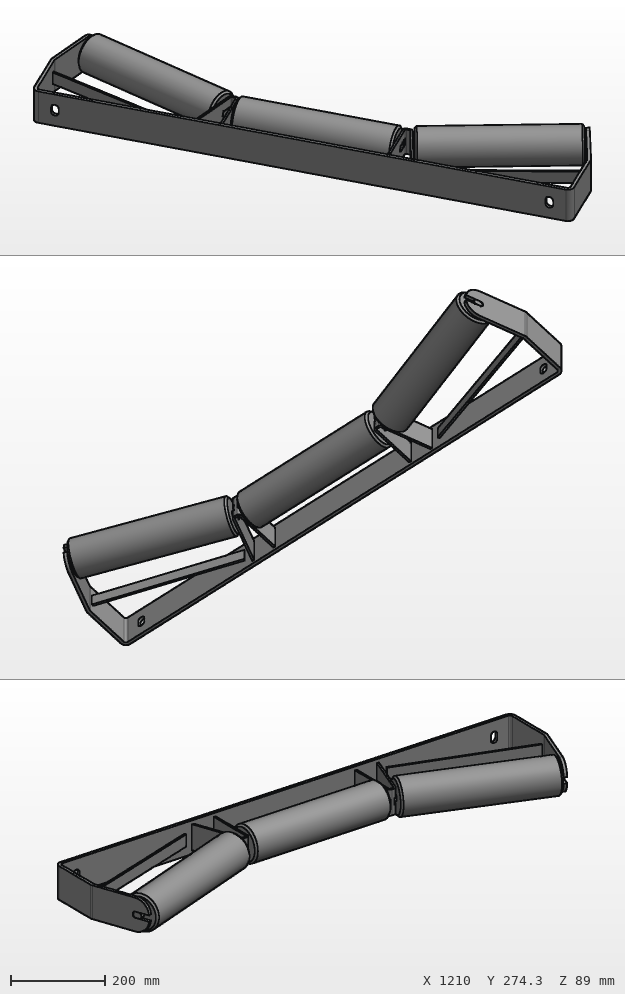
import cadquery as cq
import math

TILT = math.radians(20.0)
REACH = 274.29

FRAME_LENGTH = 1210.0
FRAME_WIDTH = 80.0
FRAME_THICKNESS = 8.0
FRAME_BEND_RADIUS = 6.0
WING_BEND_HEIGHT = 128.0
WING_LENGTH = 147.0
WING_CORNER_RADIUS = 35.0
MOUNT_HOLE_WIDTH = 17.0
MOUNT_HOLE_HEIGHT = 27.0
MOUNT_HOLE_SPACING = 1108.0

ROLLER_DIAMETER = 89.0
ROLLER_LENGTH = 361.0
ROLLER_CHAMFER = 5.0
SHAFT_DIAMETER = 20.0
SHAFT_ACROSS_FLATS = 14.0
SLOT_WIDTH = 15.0
CENTRE_ROLLER_HEIGHT = 101.0
WING_ROLLER_GAP = 3.5

BRACKET_THICKNESS = 5.0
BRACKET_BEND_RADIUS = 2.0
BRACKET_WIDTH = 62.0
BRACKET_TOP = 128.5
BRACKET_INNER_FACE = 184.5
BRACKET_FOOT = 248.0

BRACE_THICKNESS = 5.0
BRACE_WIDTH = 29.0
BRACE_WALL_HEIGHT = 115.2
BRACE_HEEL = 268.0

HALF_LENGTH = FRAME_LENGTH / 2

LEFT_AXIS = cq.Vector(math.cos(TILT), -math.sin(TILT), 0)
WING_DIRECTION = cq.Vector(math.sin(TILT), math.cos(TILT), 0)
CENTRE_AXIS = cq.Vector(1, 0, 0)
CENTRE_UP = cq.Vector(0, 1, 0)

wing_bend = cq.Vector(-HALF_LENGTH, WING_BEND_HEIGHT, 0)
wing_tip = wing_bend + WING_DIRECTION * WING_LENGTH
bracket_foot = cq.Vector(-BRACKET_FOOT, FRAME_THICKNESS, 0)

rim_rise = ROLLER_DIAMETER / 2 * math.cos(TILT) - ROLLER_CHAMFER * math.sin(TILT)
left_outer_stub = FRAME_THICKNESS + WING_ROLLER_GAP
left_end_rise = REACH - rim_rise - WING_BEND_HEIGHT
along_wing = (left_end_rise + left_outer_stub * math.sin(TILT)) / math.cos(TILT)
left_end = wing_bend + WING_DIRECTION * along_wing + LEFT_AXIS * left_outer_stub

left_bracket_gap = (bracket_foot - left_end).dot(LEFT_AXIS) - ROLLER_LENGTH
left_inner_stub = left_bracket_gap + BRACKET_THICKNESS
centre_end = cq.Vector(-ROLLER_LENGTH / 2, CENTRE_ROLLER_HEIGHT, 0)
centre_stub = BRACKET_INNER_FACE - ROLLER_LENGTH / 2 + BRACKET_THICKNESS


def mirrored(body):
    """The right-hand counterpart of a left-hand body."""
    return body.mirror("YZ")


def bent_strip(outer, thickness, bend_radius, width):
    """A bent strip with one side on the given points and its thickness to the left of that path."""
    points = [cq.Vector(x, y, 0) for x, y in outer]
    directions = [(end - start).normalized() for start, end in zip(points, points[1:])]
    normals = [cq.Vector(-d.y, d.x, 0) for d in directions]
    inner = [points[0] + normals[0] * thickness]
    for corner, before, after in zip(points[1:], normals, normals[1:]):
        mitre = (before + after) * (thickness / (1 + before.dot(after)))
        inner.append(corner + mitre)
    inner.append(points[-1] + normals[-1] * thickness)
    outline = [(p.x, p.y) for p in points + inner[::-1]]
    strip = cq.Workplane("XY").polyline(outline).close().extrude(width / 2, both=True)
    for outside, inside in zip(points[1:-1], inner[1:-1]):
        strip = strip.edges(cq.NearestToPointSelector(outside.toTuple())).fillet(bend_radius + thickness)
        strip = strip.edges(cq.NearestToPointSelector(inside.toTuple())).fillet(bend_radius)
    return strip


def shaft_slot(axis_point, axis, up, plate_thickness):
    """Cutter for a round-bottomed slot, open at the top, that a flattened shaft end drops into."""
    plane = cq.Plane(origin=axis_point.toTuple(), xDir=up.toTuple(), normal=axis.toTuple())
    flat_edge = math.sqrt(SHAFT_DIAMETER**2 - SHAFT_ACROSS_FLATS**2) / 2
    bottom_centre = math.sqrt(SLOT_WIDTH**2 - SHAFT_ACROSS_FLATS**2) / 2 - flat_edge
    straight = ROLLER_DIAMETER
    slot = cq.Workplane(plane).center(bottom_centre + straight / 2, 0)
    return slot.slot2D(straight + SLOT_WIDTH, SLOT_WIDTH).extrude(plate_thickness, both=True)


def make_roller(end_point, axis, up, first_stub, last_stub):
    """A chamfered roller with a shaft end, flattened on two sides, standing out of each face."""
    plane = cq.Plane(origin=end_point.toTuple(), xDir=up.toTuple(), normal=axis.toTuple())
    roller = cq.Workplane(plane).circle(ROLLER_DIAMETER / 2).extrude(ROLLER_LENGTH)
    roller = roller.faces("%PLANE").edges().chamfer(ROLLER_CHAMFER)
    shaft_length = first_stub + ROLLER_LENGTH + last_stub
    shaft_start = cq.Workplane(plane).workplane(offset=-first_stub)
    shaft = shaft_start.circle(SHAFT_DIAMETER / 2).extrude(shaft_length)
    flats = shaft_start.rect(SHAFT_DIAMETER, SHAFT_ACROSS_FLATS).extrude(shaft_length)
    return roller.union(shaft.intersect(flats))


def make_frame():
    left = [(wing_tip.x, wing_tip.y), (wing_bend.x, wing_bend.y), (-HALF_LENGTH, 0)]
    right = [(-x, y) for x, y in reversed(left)]
    frame = bent_strip(left + right, FRAME_THICKNESS, FRAME_BEND_RADIUS, FRAME_WIDTH)

    tip_middle = wing_tip + LEFT_AXIS * (FRAME_THICKNESS / 2)
    for x in (tip_middle.x, -tip_middle.x):
        for z in (-FRAME_WIDTH / 2, FRAME_WIDTH / 2):
            corner = cq.NearestToPointSelector((x, tip_middle.y, z))
            frame = frame.edges(corner).fillet(WING_CORNER_RADIUS)

    wing_seat = left_end - LEFT_AXIS * left_outer_stub
    slot = shaft_slot(wing_seat, LEFT_AXIS, WING_DIRECTION, FRAME_THICKNESS)
    frame = frame.cut(slot).cut(mirrored(slot))

    hole_x = MOUNT_HOLE_SPACING / 2
    holes = cq.Workplane("XZ").pushPoints([(-hole_x, 0), (hole_x, 0)])
    holes = holes.slot2D(MOUNT_HOLE_HEIGHT, MOUNT_HOLE_WIDTH, 90).extrude(-FRAME_THICKNESS)
    return frame.cut(holes)


def make_bracket():
    lean = (BRACKET_TOP - FRAME_THICKNESS) * math.tan(TILT)
    outer = [
        (-BRACKET_INNER_FACE, FRAME_THICKNESS),
        (-BRACKET_INNER_FACE, BRACKET_TOP),
        (-BRACKET_FOOT + lean, BRACKET_TOP),
        (-BRACKET_FOOT, FRAME_THICKNESS),
    ]
    bracket = bent_strip(outer, BRACKET_THICKNESS, BRACKET_BEND_RADIUS, BRACKET_WIDTH)

    base = cq.Workplane("XY").box(FRAME_LENGTH, FRAME_THICKNESS, FRAME_WIDTH, centered=(True, False, True))
    bracket = bracket.cut(base)

    left_seat = left_end + LEFT_AXIS * (ROLLER_LENGTH + left_bracket_gap)
    centre_seat = cq.Vector(-BRACKET_INNER_FACE, CENTRE_ROLLER_HEIGHT, 0)
    bracket = bracket.cut(shaft_slot(left_seat, LEFT_AXIS, WING_DIRECTION, BRACKET_THICKNESS))
    return bracket.cut(shaft_slot(centre_seat, CENTRE_AXIS, CENTRE_UP, BRACKET_THICKNESS))


def make_brace():
    """A flat bar, cut along the end wall at the top and square at its foot on the frame base."""
    wall = -HALF_LENGTH + FRAME_THICKNESS
    run = -BRACE_HEEL - wall
    drop = BRACE_WALL_HEIGHT - FRAME_THICKNESS
    slope_angle = math.atan2(drop, run)
    upright_thickness = BRACE_THICKNESS / math.cos(slope_angle)
    outline = [
        (wall, BRACE_WALL_HEIGHT),
        (-BRACE_HEEL, FRAME_THICKNESS),
        (
            -BRACE_HEEL + BRACE_THICKNESS * math.sin(slope_angle),
            FRAME_THICKNESS + BRACE_THICKNESS * math.cos(slope_angle),
        ),
        (wall, BRACE_WALL_HEIGHT + upright_thickness),
    ]
    return cq.Workplane("XY").polyline(outline).close().extrude(BRACE_WIDTH / 2, both=True)


frame = make_frame()
centre_roller = make_roller(centre_end, CENTRE_AXIS, CENTRE_UP, centre_stub, centre_stub)
left_roller = make_roller(left_end, LEFT_AXIS, WING_DIRECTION, left_outer_stub, left_inner_stub)
left_bracket = make_bracket()
left_brace = make_brace()

bodies = [frame, centre_roller]
for left_body in (left_roller, left_bracket, left_brace):
    bodies.append(left_body)
    bodies.append(mirrored(left_body))
result = cq.Compound.makeCompound([body.val() for body in bodies])